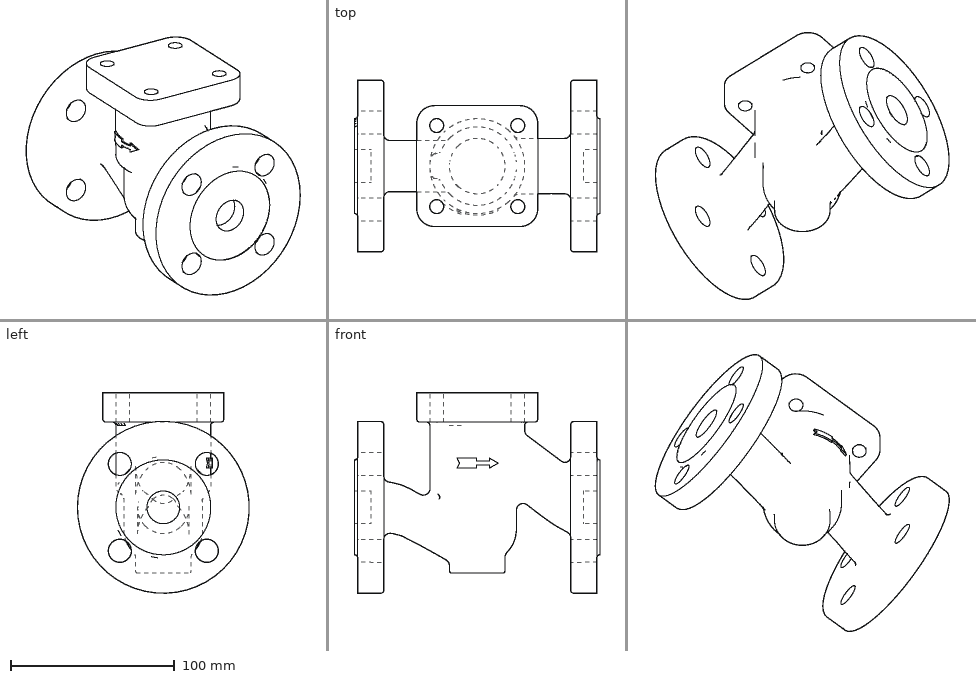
import cadquery as cq
import math

holes_per_circle = 4
first_hole_angle = 45.0

face_to_face = 150.0
flange_diameter = 105.0
flange_thickness = 16.0
flange_edge_radius = 2.0
raised_face_diameter = 58.0
raised_face_height = 2.0
flange_hole_diameter = 14.0
flange_hole_circle = 75.0
bore_diameter = 20.0
bore_depth = 10.0
flange_inner_x = face_to_face / 2 - raised_face_height - flange_thickness

plate_top_z = 70.0
plate_size = 74.0
plate_thickness = 18.0
plate_corner_radius = 11.0
plate_edge_radius = 2.0
plate_hole_diameter = 8.38
plate_hole_circle = 70.0
plate_bottom_z = plate_top_z - plate_thickness

barrel_radius = 29.0
barrel_bottom_z = 13.0
neck_fillet = 2.0
waist_radius = 24.0
waist_top_z = 4.0
waist_bottom_z = -14.2
bowl_arc_radius = 18.0
spigot_radius = 17.0
spigot_bottom_z = -40.2
spigot_edge_radius = 1.5
spigot_root_radius = 6.0
bowl_angle = math.radians(46.0)

inlet_diameter = 31.4
inlet_bend_radius = 32.0
inlet_bend_angle = math.radians(29.0)
inlet_end_x = -9.0
inlet_section_count = 10

outlet_diameter = 34.0
outlet_slope = 0.75
outlet_top_z_at_flange = 24.0
outlet_bottom_z_at_flange = -16.2
outlet_straight_end_x = 44.0
outlet_start_x = 21.0

branch_flange_fillet = 3.5
branch_body_fillet = 4.0

joint_tolerance = 0.01

arrow_height = 1.0
arrow_center_z = 27.0
arrow_tail_x = -12.3
arrow_notch_x = -10.8
arrow_step_x = -0.5
arrow_head_x = 7.5
arrow_tip_x = 12.8
arrow_tail_half_width = 3.0
arrow_shaft_half_width = 1.2


def make_flange(side):
    """Flange with raised face; side is -1 for the inlet and +1 for the outlet."""
    disc = (
        cq.Workplane("YZ", origin=(side * flange_inner_x, 0, 0))
        .circle(flange_diameter / 2)
        .extrude(side * flange_thickness)
    )
    inner_face = ">X" if side < 0 else "<X"
    disc = disc.faces(inner_face).edges().fillet(flange_edge_radius)
    face_x = side * (flange_inner_x + flange_thickness)
    face_radius = raised_face_diameter / 2
    root_radius = raised_face_height
    end_x = side * face_to_face / 2
    arc_offset = root_radius * (1 - math.sqrt(0.5))
    raised_face = (
        cq.Workplane("XY")
        .moveTo(face_x, 0)
        .lineTo(face_x, face_radius + root_radius)
        .threePointArc(
            (face_x + side * arc_offset, face_radius + arc_offset),
            (end_x, face_radius),
        )
        .lineTo(end_x, 0)
        .close()
        .revolve(360, (0, 0, 0), (1, 0, 0))
    )
    return disc.union(raised_face)


def make_body():
    """Barrel, waist, bowl and spigot as one turned solid."""
    shoulder_mid_radius = (barrel_radius + waist_radius) / 2
    shoulder_mid_z = (barrel_bottom_z + waist_top_z) / 2
    bowl_end_radius = waist_radius - bowl_arc_radius * (1 - math.cos(bowl_angle))
    bowl_end_z = waist_bottom_z - bowl_arc_radius * math.sin(bowl_angle)
    spigot_top_z = bowl_end_z - spigot_root_radius * math.sin(bowl_angle)
    return (
        cq.Workplane("XZ")
        .moveTo(0, plate_bottom_z)
        .lineTo(barrel_radius, plate_bottom_z)
        .lineTo(barrel_radius, barrel_bottom_z)
        .tangentArcPoint((shoulder_mid_radius, shoulder_mid_z), relative=False)
        .tangentArcPoint((waist_radius, waist_top_z), relative=False)
        .lineTo(waist_radius, waist_bottom_z)
        .tangentArcPoint((bowl_end_radius, bowl_end_z), relative=False)
        .tangentArcPoint((spigot_radius, spigot_top_z), relative=False)
        .lineTo(spigot_radius, spigot_bottom_z)
        .lineTo(0, spigot_bottom_z)
        .close()
        .revolve(360, (0, 0, 0), (0, 1, 0))
        .faces("<Z")
        .edges()
        .fillet(spigot_edge_radius)
    )


def make_plate():
    """Square plate with round corners and a rounded lower rim."""
    plate = (
        cq.Workplane("XY", origin=(0, 0, plate_bottom_z))
        .rect(plate_size, plate_size)
        .extrude(plate_thickness)
        .edges("|Z")
        .fillet(plate_corner_radius)
    )
    return plate.faces("<Z").edges().fillet(plate_edge_radius)


def upright_ellipse(x, center_z, width, height):
    """Elliptical section wire in a plane normal to the X axis."""
    plane = cq.Plane(origin=(x, 0, center_z), xDir=(0, 1, 0), normal=(1, 0, 0))
    return cq.Workplane(plane).ellipse(width / 2, height / 2).wires().val()


def inlet_center_z(x):
    """Height of the inlet centre line: level at the flange, an arc, then a straight slope."""
    run = x + flange_inner_x
    bend_run = inlet_bend_radius * math.sin(inlet_bend_angle)
    arc_run = min(run, bend_run)
    arc_drop = inlet_bend_radius - math.sqrt(inlet_bend_radius**2 - arc_run**2)
    return -arc_drop - (run - arc_run) * math.tan(inlet_bend_angle)


def make_inlet():
    """Pipe whose upright sections are all round, from the flange to inside the bowl."""
    step = (inlet_end_x + flange_inner_x) / (inlet_section_count - 1)
    wires = []
    for i in range(inlet_section_count):
        x = -flange_inner_x + i * step
        wires.append(upright_ellipse(x, inlet_center_z(x), inlet_diameter, inlet_diameter))
    return cq.Workplane(cq.Solid.makeLoft(wires))


def make_outlet():
    """Sloping round pipe whose underside levels out towards the flange."""
    slant_height = outlet_diameter * math.sqrt(1 + outlet_slope**2)
    wires = []
    middle_x = (outlet_start_x + outlet_straight_end_x) / 2
    for x in (outlet_start_x, middle_x, outlet_straight_end_x):
        top_z = outlet_top_z_at_flange + outlet_slope * (flange_inner_x - x)
        wires.append(upright_ellipse(x, top_z - slant_height / 2, outlet_diameter, slant_height))
    end_height = outlet_top_z_at_flange - outlet_bottom_z_at_flange
    end_center_z = (outlet_top_z_at_flange + outlet_bottom_z_at_flange) / 2
    wires.append(upright_ellipse(flange_inner_x, end_center_z, outlet_diameter, end_height))
    return cq.Workplane(cq.Solid.makeLoft(wires))


def make_arrow():
    """Flow arrow with its face concentric with the barrel; its root reaches inside the barrel."""
    upper = [
        (arrow_tail_x, arrow_tail_half_width),
        (arrow_step_x, arrow_tail_half_width),
        (arrow_step_x, arrow_shaft_half_width),
        (arrow_head_x, arrow_shaft_half_width),
        (arrow_head_x, arrow_tail_half_width),
    ]
    lower = [(x, -z) for x, z in reversed(upper)]
    outline = upper + [(arrow_tip_x, 0)] + lower + [(arrow_notch_x, 0)]
    prism = (
        cq.Workplane("XZ", origin=(0, 0, arrow_center_z))
        .polyline(outline)
        .close()
        .extrude(barrel_radius + 2 * arrow_height)
    )
    skin = (
        cq.Workplane("XY", origin=(0, 0, arrow_center_z - 2 * arrow_tail_half_width))
        .circle(barrel_radius + arrow_height)
        .extrude(4 * arrow_tail_half_width)
    )
    return prism.intersect(skin)


def cut_holes(part):
    """Bolt holes through the plate and flanges, and a blind bore in each raised face."""
    plate_holes = (
        cq.Workplane("XY", origin=(0, 0, plate_bottom_z))
        .polarArray(plate_hole_circle / 2, first_hole_angle, 360, holes_per_circle)
        .circle(plate_hole_diameter / 2)
        .extrude(plate_thickness)
    )
    part = part.cut(plate_holes)
    for side in (-1, 1):
        flange_holes = (
            cq.Workplane("YZ", origin=(side * flange_inner_x, 0, 0))
            .polarArray(flange_hole_circle / 2, first_hole_angle, 360, holes_per_circle)
            .circle(flange_hole_diameter / 2)
            .extrude(side * flange_thickness)
        )
        bore = (
            cq.Workplane("YZ", origin=(side * face_to_face / 2, 0, 0))
            .circle(bore_diameter / 2)
            .extrude(-side * bore_depth)
        )
        part = part.cut(flange_holes).cut(bore)
    return part


def lies_on_skin(edge, part):
    """True if the middle of the edge is on the outer surface of the part."""
    midpoint = cq.Vertex.makeVertex(*edge.positionAt(0.5).toTuple())
    return part.shells().val().distance(midpoint) < joint_tolerance


def join_with_fillet(part, other, radius):
    """Union of two solids with every edge where their skins meet rounded."""
    joined = part.union(other)
    joint = [
        edge for edge in joined.edges().vals()
        if lies_on_skin(edge, part) and lies_on_skin(edge, other)
    ]
    return cq.Workplane(joined.val().fillet(radius, joint))


result = join_with_fillet(make_body(), make_plate(), neck_fillet)
result = join_with_fillet(result, make_outlet(), branch_body_fillet)
result = join_with_fillet(result, make_inlet(), branch_body_fillet)
for flange_side in (-1, 1):
    result = join_with_fillet(result, make_flange(flange_side), branch_flange_fillet)
result = cut_holes(result.union(make_arrow()))